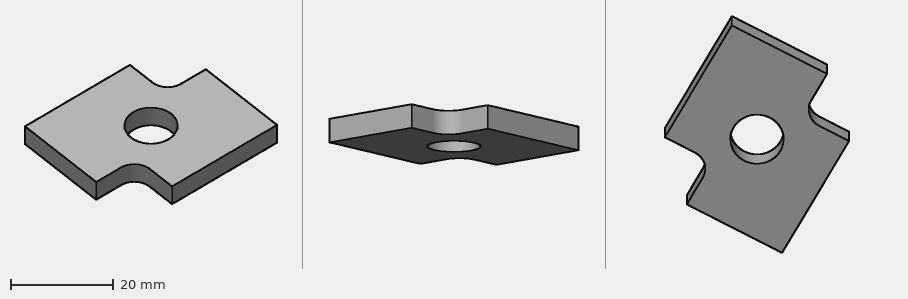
import cadquery as cq

width = 32.0
length = 37.6
thickness = 4.75

notch_width = 10.68
notch_length = 10.4
notch_radius = 4.0
hole_diameter = 10.4


def corner_notch():
    """Cutter for the -X, +Y corner, with its inner corner rounded."""
    return (
        cq.Workplane("XY")
        .box(2 * notch_width, 2 * notch_length, thickness, centered=(True, True, False))
        .edges("|Z and >X and <Y")
        .fillet(notch_radius)
        .translate((-width / 2, length / 2, 0))
    )


plate = cq.Workplane("XY").box(width, length, thickness, centered=(True, True, False))

for angle in (0, 180):
    plate = plate.cut(corner_notch().rotate((0, 0, 0), (0, 0, 1), angle))

result = plate.faces(">Z").workplane(origin=(0, 0, thickness)).hole(hole_diameter)